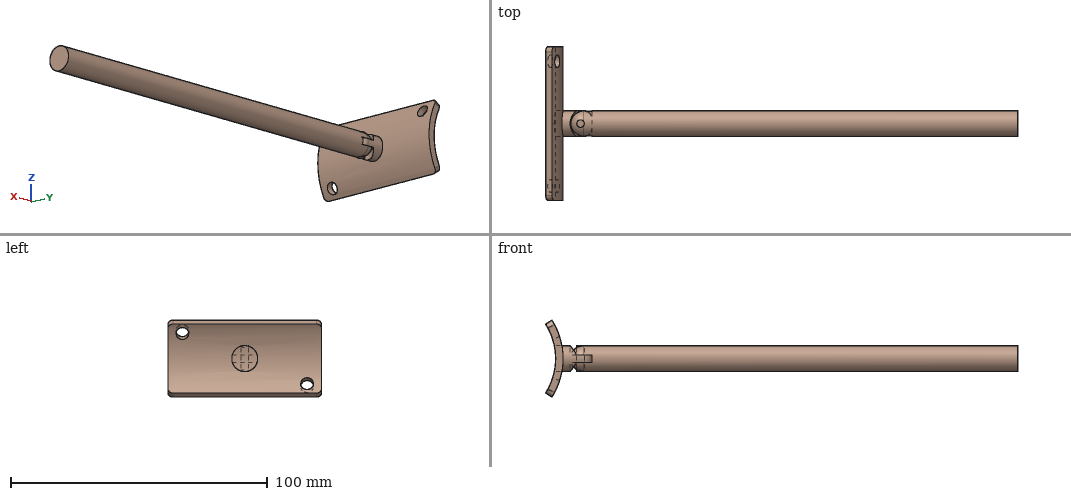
import cadquery as cq
import math

total_length = 184.0
plate_width = 60.0
plate_height = 30.0
rod_diameter = 10.1
rod_radius = rod_diameter / 2

plate_inner_radius = 25.0
plate_thickness = 3.0
plate_outer_radius = plate_inner_radius + plate_thickness
plate_half_angle = math.asin(plate_height / 2 / plate_outer_radius)
plate_axis_x = -plate_inner_radius * math.cos(plate_half_angle)
plate_corner_radius = 2.0
screw_hole_diameter = 5.0
screw_hole_offset_y = 24.3
screw_hole_angle = 23.0

pivot_x = 13.6
pin_radius = 1.5
tongue_thickness = 3.0
tongue_end_radius = 3.0
slot_end_x = 18.0
rod_ball_x = 14.7
socket_axis_x = 15.6
socket_radius = 6.0


def plate_point(radius, angle):
    """Point in the XZ plane at a radius and angle (radians) about the plate axis."""
    return (plate_axis_x + radius * math.cos(angle), radius * math.sin(angle))


def cylinder_along_x(start_x, end_x):
    return cq.Workplane("YZ", origin=(start_x, 0, 0)).circle(rod_radius).extrude(end_x - start_x)


def hinge_slab(start_x, end_x):
    """Flat slab of tongue thickness, wider than the rod, centred on the rod axis."""
    length = end_x - start_x
    slab = cq.Workplane("XY").box(length, 4 * rod_radius, tongue_thickness)
    return slab.translate(((start_x + end_x) / 2, 0, 0))


def plate_bore():
    """Space inside the concave face of the plate."""
    bore = cq.Workplane("XZ", origin=(plate_axis_x, 0, 0)).circle(plate_inner_radius)
    return bore.extrude(plate_width / 2, both=True)


def make_pin():
    """Pivot pin as long as the rod is thick."""
    return cq.Workplane("XY", origin=(pivot_x, 0, 0)).circle(pin_radius).extrude(rod_radius, both=True)


def make_stud():
    """Stud seated in the plate, with a flat hinge tongue."""
    body = cylinder_along_x(0, slot_end_x).faces(">X").edges().fillet(tongue_end_radius)
    socket = cq.Workplane("XY", origin=(socket_axis_x, 0, 0)).circle(socket_radius)
    socket = socket.extrude(rod_radius, both=True)
    clearance = socket.union(cylinder_along_x(socket_axis_x, slot_end_x))
    clearance = clearance.cut(hinge_slab(0, slot_end_x + socket_radius))
    return body.cut(clearance).cut(plate_bore()).cut(make_pin())


def make_plate():
    """Arched plate with rounded corners, two radial screw holes and a stud hole."""
    profile = (
        cq.Workplane("XZ")
        .moveTo(*plate_point(plate_inner_radius, -plate_half_angle))
        .threePointArc(
            plate_point(plate_inner_radius, 0), plate_point(plate_inner_radius, plate_half_angle)
        )
        .lineTo(*plate_point(plate_outer_radius, plate_half_angle))
        .threePointArc(
            plate_point(plate_outer_radius, 0), plate_point(plate_outer_radius, -plate_half_angle)
        )
        .close()
    )
    plate = profile.extrude(plate_width / 2, both=True)
    plate = plate.edges("%LINE and (not |Y)").fillet(plate_corner_radius)
    for side in (1, -1):
        hole = (
            cq.Workplane("YZ", origin=(plate_axis_x, side * screw_hole_offset_y, 0))
            .circle(screw_hole_diameter / 2)
            .extrude(2 * plate_outer_radius)
            .rotate((plate_axis_x, 0, 0), (plate_axis_x, 1, 0), -side * screw_hole_angle)
        )
        plate = plate.cut(hole)
    return plate.cut(cylinder_along_x(0, pivot_x))


def make_rod():
    """Rod whose forked hemispherical end straddles the stud tongue."""
    ball = cq.Workplane("XY").sphere(rod_radius).translate((rod_ball_x, 0, 0))
    blank = cylinder_along_x(rod_ball_x, total_length).union(ball)
    return blank.cut(hinge_slab(0, slot_end_x)).cut(make_pin())


plate = make_plate()
stud = make_stud()
rod = make_rod()
pin = make_pin()

result = cq.Compound.makeCompound([body.solids().val() for body in (plate, stud, rod, pin)])